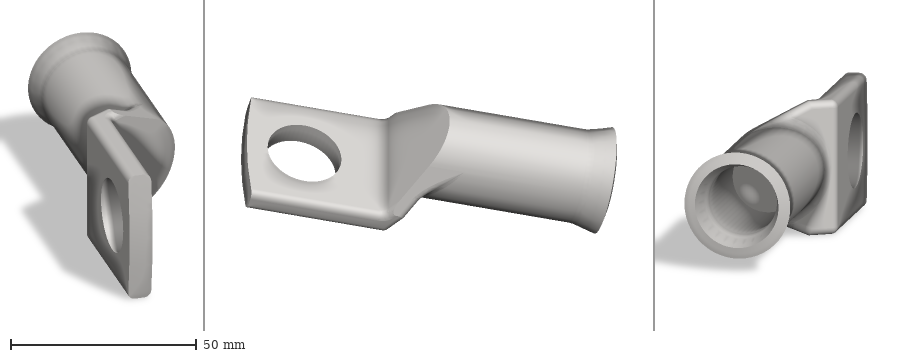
import math

import cadquery as cq


length = 97.85
width = 37.0
half_width = width / 2
depth = 30.2

barrel_radius = 12.8
bore_radius = 9.5
bore_depth = 40.0
wall_thickness = barrel_radius - bore_radius

flare_radius = 14.6
flare_angle = math.radians(15.0)
bend_length = 2.0
bend_radius = bend_length / math.sin(flare_angle)
bend_end_radius = barrel_radius + bend_radius * (1 - math.cos(flare_angle))
lip_x = wall_thickness * math.sin(flare_angle)
flare_end_x = lip_x + (flare_radius - bend_end_radius) / math.tan(flare_angle) + bend_length

tongue_bottom_y = flare_radius - depth
tongue_thickness = 6.5
tongue_top_y = tongue_bottom_y + tongue_thickness
hole_x = 81.8
hole_diameter = 20.5
end_bulge = 1.5
edge_radius = 2.0

slope_angle = math.radians(60.0)
front_foot_x = 59.5
back_foot_x = 57.6
shoulder_y = -8.0
inner_bend_radius = 2.5
barrel_blend_radius = 3.0
shoulder_distance = math.hypot(shoulder_y, half_width)
tangent_angle = math.atan2(half_width, shoulder_y) - math.acos(barrel_radius / shoulder_distance)
tangent_y = barrel_radius * math.cos(tangent_angle)
tangent_z = barrel_radius * math.sin(tangent_angle)
tip_height = 0.35
rounding_top_y = tangent_y - tip_height

reach = 2 * length


def slope_x(foot_x, foot_y, y):
    """X of a slope plane through (foot_x, foot_y) at the given Y."""
    return foot_x - (y - foot_y) / math.tan(slope_angle)


def plan_prism(points, height):
    """Outline in X and Y, extruded symmetrically about Z = 0."""
    return cq.Workplane("XY").polyline(points).close().extrude(height / 2, both=True)


def make_rod():
    """Plain barrel rod from the flare to the far end of the lug."""
    flare_end = cq.Workplane("YZ").workplane(offset=flare_end_x)
    return flare_end.circle(barrel_radius).extrude(length - flare_end_x)


def make_stem():
    """Barrel rod running into a wide oblique wall, with a blend all round the joint."""
    neck_block = plan_prism(
        [
            (slope_x(back_foot_x, tongue_bottom_y, -reach), -reach),
            (slope_x(back_foot_x, tongue_bottom_y, reach), reach),
            (reach, reach),
            (reach, -reach),
        ],
        reach,
    )
    return make_rod().union(neck_block).edges("%ELLIPSE").fillet(barrel_blend_radius)


def make_side_envelope():
    """Limits in the XY plane: below the front slope and above the tongue bottom."""
    slope_top_x = slope_x(front_foot_x, tongue_top_y, flare_radius)
    return plan_prism(
        [
            (0, tongue_bottom_y),
            (reach, tongue_bottom_y),
            (reach, tongue_top_y),
            (front_foot_x, tongue_top_y),
            (slope_top_x, flare_radius),
            (0, flare_radius),
        ],
        width,
    )


def make_end_envelope():
    """Limits in the YZ plane, up to the tangent points: tongue sides leaning in to touch the barrel."""
    return (
        cq.Workplane("YZ")
        .moveTo(tongue_bottom_y, -half_width)
        .lineTo(shoulder_y, -half_width)
        .lineTo(tangent_y, -tangent_z)
        .lineTo(tangent_y, tangent_z)
        .lineTo(shoulder_y, half_width)
        .lineTo(tongue_bottom_y, half_width)
        .close()
        .extrude(length)
    )


def make_outline_envelope():
    """Limits in the XZ plane: full width, with a bulged tongue end."""
    corner_x = length - end_bulge
    return (
        cq.Workplane("XZ")
        .moveTo(0, -half_width)
        .lineTo(corner_x, -half_width)
        .threePointArc((length, 0), (corner_x, half_width))
        .lineTo(0, half_width)
        .close()
        .extrude(reach, both=True)
    )


def keep_between(body, low_y, high_y):
    """Part of the body between two Y positions."""
    middle_y = (low_y + high_y) / 2
    slab = cq.Workplane("XY").box(2 * reach, high_y - low_y, reach).translate((0, middle_y, 0))
    return body.intersect(slab)


def edges_at(body, x, y, z):
    """The edge whose middle is nearest to a point, and its mirror twin."""
    return [
        body.edges(cq.selectors.NearestToPointSelector((x, y, side * z))).val() for side in (1, -1)
    ]


def round_edges(neck):
    """Neck and tongue with the back and top edges rounded and the inner bend filleted."""
    tongue_middle_x = (back_foot_x + length) / 2
    side_middle_y = (tongue_bottom_y + shoulder_y) / 2
    side_middle_x = slope_x(back_foot_x, tongue_bottom_y, side_middle_y)
    slant_y = shoulder_y / 2
    slant_x = slope_x(back_foot_x, tongue_bottom_y, slant_y)
    lean = (half_width - tangent_z) / (tangent_y - shoulder_y)
    slant_z = half_width - (slant_y - shoulder_y) * lean

    back_edges = (
        edges_at(neck, tongue_middle_x, tongue_bottom_y, half_width)
        + edges_at(neck, back_foot_x, tongue_bottom_y, 0)[:1]
        + edges_at(neck, side_middle_x, side_middle_y, half_width)
        + edges_at(neck, slant_x, slant_y, slant_z)
    )
    neck = neck.newObject(back_edges).fillet(edge_radius)

    inner_bend = edges_at(neck, front_foot_x, tongue_top_y, 0)[:1]
    neck = neck.newObject(inner_bend).fillet(inner_bend_radius)

    top_edges = edges_at(neck, tongue_middle_x, tongue_top_y, half_width)
    return neck.newObject(top_edges).fillet(edge_radius)


def make_neck_and_tongue():
    """Barrel rod, neck and tongue as one body, with its bends and edges rounded."""
    side_envelope = make_side_envelope()
    upper = keep_between(make_rod().intersect(side_envelope), tangent_y, reach)
    body = make_stem().intersect(side_envelope).intersect(make_end_envelope())
    tip = keep_between(body, rounding_top_y, reach)
    lower = keep_between(body, -reach, rounding_top_y)
    return round_edges(lower).union(tip).union(upper).clean()


def flare_point(start_radius, angle):
    """Point on the mouth bend that leaves a straight wall of the given radius."""
    return (
        flare_end_x - bend_radius * math.sin(angle),
        start_radius + bend_radius * (1 - math.cos(angle)),
    )


def make_flare_wall():
    """Ring that widens the barrel at its mouth, over the length of the flare."""
    inner_cone_x, inner_cone_radius = flare_point(bore_radius, flare_angle)
    lip_inner_radius = inner_cone_radius + inner_cone_x * math.tan(flare_angle)
    return (
        cq.Workplane("XY")
        .moveTo(flare_end_x, bore_radius)
        .threePointArc(
            flare_point(bore_radius, flare_angle / 2),
            (inner_cone_x, inner_cone_radius),
        )
        .lineTo(0, lip_inner_radius)
        .lineTo(lip_x, flare_radius)
        .lineTo(*flare_point(barrel_radius, flare_angle))
        .threePointArc(
            flare_point(barrel_radius, flare_angle / 2),
            (flare_end_x, barrel_radius),
        )
        .close()
        .revolve(360, (0, 0, 0), (1, 0, 0))
    )


def make_bore():
    """Blind flat-ended bore behind the flare."""
    bore_length = bore_depth - flare_end_x
    return cq.Workplane("YZ").workplane(offset=flare_end_x).circle(bore_radius).extrude(bore_length)


def make_bolt_hole():
    """Hole through the tongue along Y."""
    return (
        cq.Workplane("XZ").center(hole_x, 0).circle(hole_diameter / 2).extrude(reach, both=True)
    )


lug = make_neck_and_tongue().intersect(make_outline_envelope())
lug = lug.cut(make_bore()).cut(make_bolt_hole())
result = lug.union(make_flare_wall())